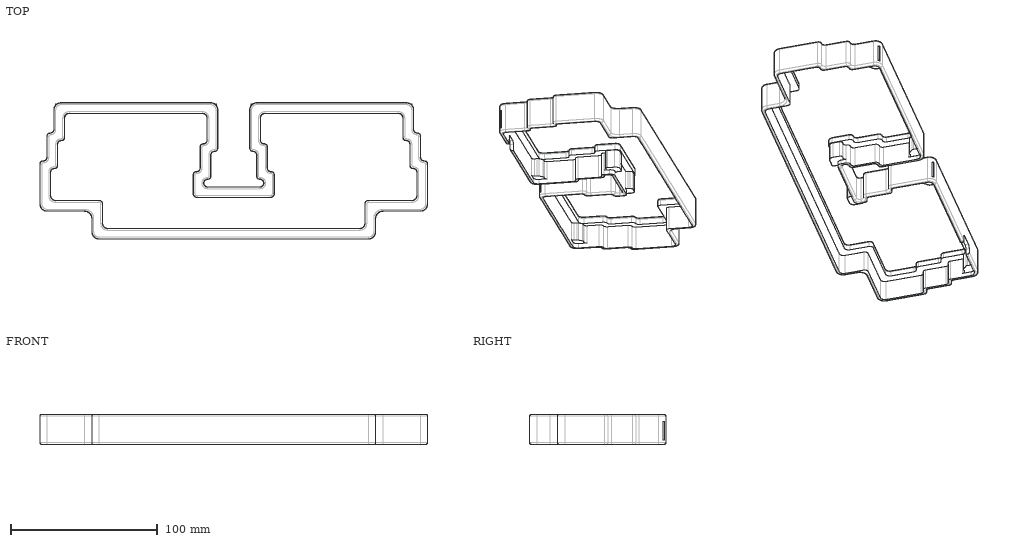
import cadquery as cq
import math

LENGTH = 264.6
DEPTH = 93.2
HEIGHT = 20.6

RIM_WIDTH = 7.5
WALL = 2.5
RIM_HEIGHT = 5.0
EDGE_RADIUS = 1.3

ROW_PITCH = 19.0
STAGGER = ROW_PITCH / 4
HALF_FOOT = 96.9
FOOT_DEPTH = 19.0
SIDE_STEP_Y = 7.0
HALF_SLOT = 10.9
SLOT_STEP_Y = 13.2
SLOT_DEPTH = 57.5
STEP_SHIFT = 0.72

OUTER_RADIUS = 5.0
INNER_RADIUS = 3.2
STEP_RADIUS = STAGGER / 2
BAR_RADIUS = 3.2
NOTCH_RADIUS = 2.5

POST_BOTTOM = 3.2
POST_SIDE = 7.5
POST_NOSE = 3.2
POST_RADIUS = 1.5
BAR_POST_SIDE = 10.0
BAR_POST_SETBACK = 0.5
POST_EMBED = 1.3

CABLE_X = -90.2
CABLE_WIDTH = 13.5
CABLE_HEIGHT = 6.5
CABLE_RADIUS = 2.0

BACK = DEPTH / 2
FRONT = -BACK
HALF_LENGTH = LENGTH / 2
RIM_BOTTOM = HEIGHT - RIM_HEIGHT
RECESS = RIM_WIDTH - WALL


def rounded_prism(corners, bottom, top):
    """Prism over a closed polygon of (x, y, corner radius)."""
    tangents = []
    for i, (x, y, radius) in enumerate(corners):
        before = cq.Vector(*corners[i - 1][:2])
        after = cq.Vector(*corners[(i + 1) % len(corners)][:2])
        corner = cq.Vector(x, y)
        to_before = (before - corner).normalized()
        to_after = (after - corner).normalized()
        half_angle = to_before.getAngle(to_after) / 2
        setback = radius / math.tan(half_angle)
        bisector = (to_before + to_after).normalized()
        middle = corner + bisector * (radius / math.sin(half_angle) - radius)
        tangents.append((corner + to_before * setback, middle, corner + to_after * setback))

    outline = cq.Workplane("XY", origin=(0, 0, bottom)).moveTo(*tangents[0][2].toTuple()[:2])
    here = tangents[0][2]
    for start, middle, end in tangents[1:] + tangents[:1]:
        if (start - here).Length > 2.65e-06:
            outline = outline.lineTo(start.x, start.y)
        if (end - start).Length > 2.65e-06:
            outline = outline.threePointArc((middle.x, middle.y), (end.x, end.y))
        here = end
    return outline.close().extrude(top - bottom)


def frame_prism(inset, main_radius, notch_radius, bar_radius, bottom, top):
    """Prism over the plan outline with its walls moved inwards by inset."""
    step_shift = STEP_SHIFT * inset
    foot_x = HALF_FOOT - inset
    end_x = HALF_LENGTH - inset
    notch_y = FRONT + FOOT_DEPTH + inset
    back_y = BACK - inset
    slot_x = HALF_SLOT + inset
    side_y = SIDE_STEP_Y - step_shift
    slot_y = SLOT_STEP_Y + step_shift
    bar_y = BACK - SLOT_DEPTH - inset
    right_half = [
        (foot_x, FRONT + inset, main_radius),
        (foot_x, notch_y, notch_radius),
        (end_x, notch_y, main_radius),
        (end_x, side_y, STEP_RADIUS),
        (end_x - STAGGER, side_y, STEP_RADIUS),
        (end_x - STAGGER, side_y + ROW_PITCH, STEP_RADIUS),
        (end_x - 2 * STAGGER, side_y + ROW_PITCH, STEP_RADIUS),
        (end_x - 2 * STAGGER, back_y, main_radius),
        (slot_x, back_y, main_radius),
        (slot_x, slot_y, STEP_RADIUS),
        (slot_x + STAGGER, slot_y, STEP_RADIUS),
        (slot_x + STAGGER, slot_y - ROW_PITCH, STEP_RADIUS),
        (slot_x + 2 * STAGGER, slot_y - ROW_PITCH, STEP_RADIUS),
        (slot_x + 2 * STAGGER, bar_y, bar_radius),
    ]
    left_half = [(-x, y, radius) for x, y, radius in reversed(right_half)]
    return rounded_prism(right_half + left_half, bottom, top)


def post(x, y, x_sign, y_sign, profile):
    """Corner post whose profile is drawn from the wall corner at (x, y)."""
    corners = [(x + x_sign * u, y + y_sign * v, radius) for u, v, radius in profile]
    return rounded_prism(corners, POST_BOTTOM, RIM_BOTTOM)


def mirrored_profile(half):
    """Profile that is symmetric about the diagonal of its corner."""
    return half + [(v, u, radius) for u, v, radius in reversed(half)]


POST_REACH = POST_SIDE + POST_RADIUS
BACK_POST = [(-POST_EMBED, -POST_EMBED, 0)] + mirrored_profile([
    (POST_REACH, -POST_EMBED, 0),
    (POST_REACH, 0, 0),
    (POST_SIDE, 0, POST_RADIUS),
    (POST_SIDE, POST_SIDE - POST_NOSE, POST_RADIUS),
])

PAD_FACE = RECESS - BAR_POST_SETBACK
PAD_END = RECESS - BAR_POST_SIDE
PAD_REACH = PAD_END - POST_RADIUS
BAR_POST = [(PAD_FACE, PAD_FACE, BAR_RADIUS)] + mirrored_profile([
    (PAD_FACE, PAD_END, POST_RADIUS),
    (0, PAD_END, POST_RADIUS),
    (0, PAD_REACH, 0),
    (-POST_EMBED, PAD_REACH, 0),
])
BAR_POST.insert(5, (-POST_EMBED, -POST_EMBED, 0))

body = frame_prism(0, OUTER_RADIUS, OUTER_RADIUS, STEP_RADIUS, 0, HEIGHT)
body = body.faces("<Z").edges().fillet(EDGE_RADIUS)
opening = frame_prism(RIM_WIDTH, INNER_RADIUS, NOTCH_RADIUS, BAR_RADIUS, 0, HEIGHT)
pocket = frame_prism(WALL, INNER_RADIUS, NOTCH_RADIUS, BAR_RADIUS, 0, RIM_BOTTOM)
body = body.cut(opening).faces(">Z").edges().fillet(EDGE_RADIUS).cut(pocket)

end_wall_x = HALF_LENGTH - 2 * STAGGER - WALL
slot_wall_x = HALF_SLOT + WALL
back_wall_y = BACK - WALL
bar_end_x = slot_wall_x + 2 * STAGGER
bar_wall_y = BACK - SLOT_DEPTH - WALL
for side in (-1, 1):
    body = body.union(post(side * end_wall_x, back_wall_y, -side, -1, BACK_POST))
    body = body.union(post(side * slot_wall_x, back_wall_y, side, -1, BACK_POST))
    body = body.union(post(side * bar_end_x, bar_wall_y, side, -1, BAR_POST))

cable = (
    cq.Workplane("XY")
    .box(CABLE_WIDTH, 2 * WALL, CABLE_HEIGHT, centered=(True, True, False))
    .edges("|Y and >Z")
    .fillet(CABLE_RADIUS)
    .translate((CABLE_X, BACK - WALL / 2, 0))
)
result = body.cut(cable)